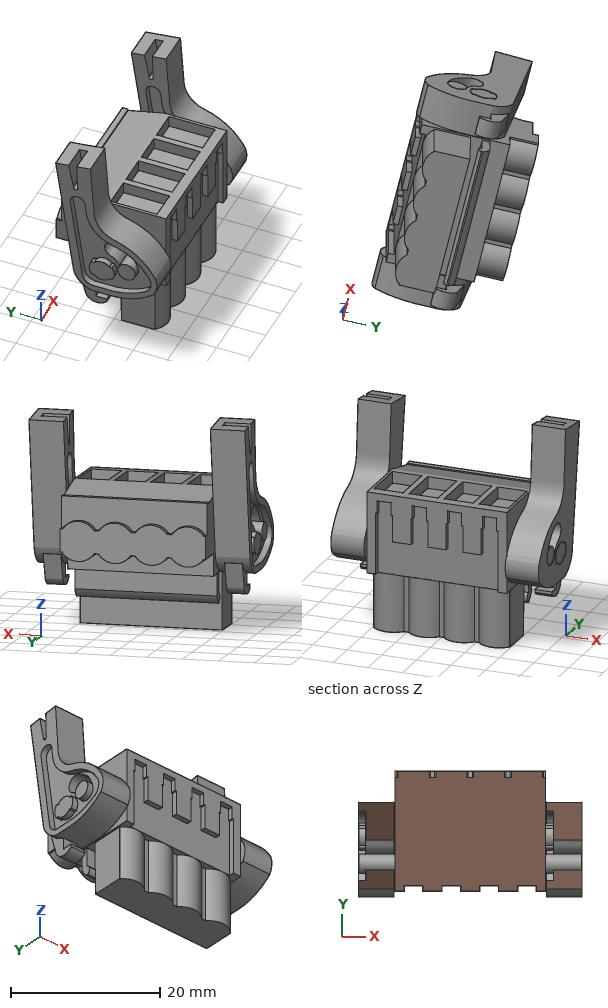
import cadquery as cq
import math


POLE_COUNT = 4
PITCH = 5.07

BLOCK_WIDTH = 20.23
BLOCK_DEPTH = 12.15
BLOCK_HEIGHT = 11.68
FLAT_TOP_DEPTH = 9.0

SHOULDER_REAR = 15.3
SHOULDER_BOTTOM = 6.18
RIDGE_FRONT = 14.47
RIDGE_TOP = 10.57
SLOPE_FOOT = 10.4

ENTRY_REAR = 16.12
ENTRY_BOTTOM = 3.03
ENTRY_TOP = SHOULDER_BOTTOM
ENTRY_LOBE_WIDTH = 4.5
ENTRY_LOBE_RISE = 1.17

PLUG_WIDTH = 19.75
PLUG_FRONT = 1.75
PLUG_REAR = 6.78
PLUG_FOOT_REAR = 6.65
PLUG_LENGTH = 8.4
PLUG_LOBE_WIDTH = 4.38
PLUG_LOBE_RISE = 1.0

COMB_DEPTH = PLUG_FRONT - PLUG_LOBE_RISE
COMB_BASE_HEIGHT = 5.0
FINGER_WIDTH = 2.45
FINGER_HEIGHT = 8.77
FINGER_TIP_WIDTH = 2.05
FINGER_TIP_HEIGHT = 10.63

PUSHER_WIDTH = 4.2
PUSHER_FRONT = 1.53
PUSHER_DEPTH = 6.75
PUSHER_HEIGHT = 3.0
PUSHER_SINK = 1.68

LEVER_WIDTH = 4.8
LEVER_OUTER = 15.0
RECESS_DEPTH = 0.95
PIVOT_Y = 7.32
PIVOT_Z = 3.87
PIVOT_RADIUS = 1.53
KEY_RADIUS = 1.83
KEY_HEIGHT = 2.05
STOP_RADIUS = 1.3
SLOT_RADIUS = 1.35
STOP_ORBIT = 3.75
STOP_ANGLE = 14.6
SWING_ANGLE = 53.5
STUD_GAP = 0.05
BLADE_SLOT_DEPTH = 3.6
HOOK_INSET = 1.15
HOOK_WIDTH = 2.45

CATCH_WIDTH = PLUG_WIDTH

BLOCK_SIDE = BLOCK_WIDTH / 2
LEVER_INNER = LEVER_OUTER - LEVER_WIDTH
STUD_LENGTH = LEVER_OUTER - STUD_GAP - BLOCK_SIDE
PUSHER_TOP = BLOCK_HEIGHT - PUSHER_SINK
POLE_X = [(i - (POLE_COUNT - 1) / 2) * PITCH for i in range(POLE_COUNT)]


def box(x_min, x_max, y_min, y_max, z_min, z_max):
    """Box between the given limits."""
    size = (x_max - x_min, y_max - y_min, z_max - z_min)
    return cq.Workplane("XY").box(*size, centered=False).translate((x_min, y_min, z_min))


def centred_box(width, y_min, y_max, z_min, z_max, x=0):
    """Box of the given width, centred on x."""
    return box(x - width / 2, x + width / 2, y_min, y_max, z_min, z_max)


def side_plane(x):
    """Plane across X whose local axes are Y and Z."""
    return cq.Workplane("YZ", origin=(x, 0, 0))


def around_pivot(radius, angle):
    """Point at a radius from the pivot, at an angle above the front direction."""
    turn = math.radians(angle)
    return PIVOT_Y - radius * math.cos(turn), PIVOT_Z + radius * math.sin(turn)



def pivot_stud(x, length):
    """Round pivot with a wider key on its front and rear."""
    core = side_plane(x).center(PIVOT_Y, PIVOT_Z).circle(PIVOT_RADIUS).extrude(length)
    key = side_plane(x).center(PIVOT_Y, PIVOT_Z).circle(KEY_RADIUS).extrude(length)
    band = side_plane(x).center(PIVOT_Y, PIVOT_Z).rect(2 * KEY_RADIUS, KEY_HEIGHT).extrude(length)
    return core.union(key.intersect(band))


def round_on_orbit(x, length, angle, radius):
    """Cylinder along X, centred on the stop pin's path about the pivot."""
    return side_plane(x).center(*around_pivot(STOP_ORBIT, angle)).circle(radius).extrude(length)


def stop_pin(x, length):
    """Round pin that limits the swing of the lever."""
    return round_on_orbit(x, length, STOP_ANGLE, STOP_RADIUS)


def stop_slot(x, length):
    """Curved slot about the pivot, with the stop pin loosely held at its lower end."""
    inner = STOP_ORBIT - SLOT_RADIUS
    outer = STOP_ORBIT + SLOT_RADIUS
    middle = STOP_ANGLE + SWING_ANGLE / 2
    far = STOP_ANGLE + SWING_ANGLE
    band = (
        side_plane(x)
        .moveTo(*around_pivot(inner, STOP_ANGLE))
        .threePointArc(around_pivot(inner, middle), around_pivot(inner, far))
        .lineTo(*around_pivot(outer, far))
        .threePointArc(around_pivot(outer, middle), around_pivot(outer, STOP_ANGLE))
        .close()
        .extrude(length)
    )
    near_end = round_on_orbit(x, length, STOP_ANGLE, SLOT_RADIUS)
    far_end = round_on_orbit(x, length, far, SLOT_RADIUS)
    return band.union(near_end).union(far_end)



def pusher_block(x, top):
    """Block on a pusher's footprint, from the pusher's seat up to the given height."""
    rear = PUSHER_FRONT + PUSHER_DEPTH
    return centred_box(PUSHER_WIDTH, PUSHER_FRONT, rear, PUSHER_TOP - PUSHER_HEIGHT, top, x)


def make_pusher(x):
    """Pusher whose top lies sunk in its window."""
    return pusher_block(x, PUSHER_TOP)



def main_block():
    """Block and rear shoulder, with the sloped roof between them."""
    block = centred_box(BLOCK_WIDTH, 0, BLOCK_DEPTH, 0, BLOCK_HEIGHT)
    roof_cut = (
        side_plane(-BLOCK_SIDE)
        .moveTo(FLAT_TOP_DEPTH, BLOCK_HEIGHT)
        .lineTo(RIDGE_FRONT, SLOPE_FOOT)
        .lineTo(RIDGE_FRONT, BLOCK_HEIGHT)
        .close()
        .extrude(BLOCK_WIDTH)
    )
    shoulder = (
        side_plane(-BLOCK_SIDE)
        .moveTo(FLAT_TOP_DEPTH, SHOULDER_BOTTOM)
        .lineTo(SHOULDER_REAR, SHOULDER_BOTTOM)
        .lineTo(SHOULDER_REAR, RIDGE_TOP)
        .lineTo(RIDGE_FRONT, RIDGE_TOP)
        .lineTo(RIDGE_FRONT, SLOPE_FOOT)
        .lineTo(FLAT_TOP_DEPTH, BLOCK_HEIGHT)
        .close()
        .extrude(BLOCK_WIDTH)
    )
    return block.cut(roof_cut).union(shoulder)


def wire_entries():
    """Row of wire entries behind the block, with an arched lobe above and below each pole."""
    row = centred_box(BLOCK_WIDTH, FLAT_TOP_DEPTH, ENTRY_REAR, ENTRY_BOTTOM, ENTRY_TOP)
    half = ENTRY_LOBE_WIDTH / 2
    for x in POLE_X:
        lobes = (
            cq.Workplane("XZ", origin=(0, ENTRY_REAR, 0))
            .moveTo(x - half, ENTRY_BOTTOM)
            .threePointArc((x, ENTRY_BOTTOM - ENTRY_LOBE_RISE), (x + half, ENTRY_BOTTOM))
            .lineTo(x + half, ENTRY_TOP)
            .threePointArc((x, ENTRY_TOP + ENTRY_LOBE_RISE), (x - half, ENTRY_TOP))
            .close()
            .extrude(ENTRY_REAR - FLAT_TOP_DEPTH)
        )
        row = row.union(lobes)
    return row


def plug():
    """Plug with a tapered rear below the block, and an arched lobe on the front of each pole."""
    body = (
        side_plane(-PLUG_WIDTH / 2)
        .moveTo(PLUG_FRONT, 0)
        .lineTo(PLUG_REAR, 0)
        .lineTo(PLUG_FOOT_REAR, -PLUG_LENGTH)
        .lineTo(PLUG_FRONT, -PLUG_LENGTH)
        .close()
        .extrude(PLUG_WIDTH)
    )
    half = PLUG_LOBE_WIDTH / 2
    for x in POLE_X:
        lobe = (
            cq.Workplane("XY", origin=(0, 0, -PLUG_LENGTH))
            .moveTo(x - half, PLUG_FRONT)
            .threePointArc((x, PLUG_FRONT - PLUG_LOBE_RISE), (x + half, PLUG_FRONT))
            .close()
            .extrude(PLUG_LENGTH)
        )
        body = body.union(lobe)
    return body


def comb_recess():
    """Shallow recess in the front face, with one stepped finger per pole."""
    base_width = POLE_X[-1] - POLE_X[0] + FINGER_WIDTH
    recess = centred_box(base_width, 0, COMB_DEPTH, 0, COMB_BASE_HEIGHT)
    for x in POLE_X:
        recess = recess.union(centred_box(FINGER_WIDTH, 0, COMB_DEPTH, 0, FINGER_HEIGHT, x))
        recess = recess.union(centred_box(FINGER_TIP_WIDTH, 0, COMB_DEPTH, 0, FINGER_TIP_HEIGHT, x))
    return recess


def catch():
    """Hooked rib under the block, behind the plug."""
    return (
        side_plane(-CATCH_WIDTH / 2)
        .moveTo(8.38, 0)
        .lineTo(8.38, -2.95)
        .threePointArc((7.9, -3.85), (8.3, -4.35))
        .lineTo(8.5, -4.38)
        .threePointArc((9.1, -3.78), (9.43, -3.2))
        .lineTo(9.43, 0)
        .close()
        .extrude(CATCH_WIDTH)
    )


def make_housing():
    """Housing with its plug, catch, windows and the studs that carry both levers."""
    body = main_block().union(wire_entries()).union(plug()).union(catch())
    body = body.cut(comb_recess())
    for x in POLE_X:
        body = body.cut(pusher_block(x, BLOCK_HEIGHT))
    for x in (-BLOCK_SIDE - STUD_LENGTH, BLOCK_SIDE):
        body = body.union(pivot_stud(x, STUD_LENGTH)).union(stop_pin(x, STUD_LENGTH))
    return body



def lever_blank(x):
    """Handle that widens into a rounded foot."""
    return (
        side_plane(x)
        .moveTo(14.05, 20.47)
        .lineTo(8.95, 21.1)
        .lineTo(8.4, 13.42)
        .threePointArc((7.72, 11.47), (5.4, 9.85))
        .threePointArc((2.43, 8.47), (-0.18, 5.73))
        .lineTo(-0.55, 5.13)
        .threePointArc((-0.78, 3.78), (-0.35, 2.35))
        .threePointArc((2.58, 0.6), (6.05, 0))
        .lineTo(8.65, 0)
        .threePointArc((10.27, 0.8), (11.4, 2.58))
        .close()
        .extrude(LEVER_WIDTH)
    )


def lever_recess(x):
    """Recess in the -X face that leaves a rim around the foot."""
    return (
        side_plane(x)
        .moveTo(11.92, 14.38)
        .lineTo(10.18, 2.45)
        .threePointArc((9.7, 1.4), (8.53, 0.93))
        .lineTo(5.5, 0.93)
        .threePointArc((3.18, 1.38), (0.95, 2.37))
        .threePointArc((0.1, 3.8), (0.55, 5.13))
        .threePointArc((2.58, 7.38), (5.85, 8.9))
        .threePointArc((8.3, 10.4), (9.55, 13.1))
        .lineTo(9.73, 14.6)
        .threePointArc((10.75, 15.65), (11.92, 14.38))
        .close()
        .extrude(RECESS_DEPTH)
    )


def blade_slot(x):
    """Wedge slot in the top of the handle, open to the -X face."""
    return (
        side_plane(x)
        .moveTo(12.3, 21.6)
        .lineTo(11.45, 17.17)
        .threePointArc((11.1, 16.78), (10.85, 17.1))
        .lineTo(11.0, 21.6)
        .close()
        .extrude(BLADE_SLOT_DEPTH)
    )


def lever_hook(x):
    """Latching hook under the foot, narrower than the lever."""
    return (
        side_plane(x + HOOK_INSET)
        .moveTo(8.65, 0.9)
        .lineTo(8.65, -1.8)
        .lineTo(7.05, -1.8)
        .lineTo(7.05, -2.22)
        .threePointArc((8.53, -2.88), (10.12, -1.9))
        .lineTo(11.17, 1.75)
        .close()
        .extrude(HOOK_WIDTH)
    )


def make_lever(x):
    """Lever whose -X face lies at x."""
    body = lever_blank(x).union(lever_hook(x))
    body = body.cut(lever_recess(x)).cut(blade_slot(x))
    body = body.cut(pivot_stud(x, LEVER_WIDTH))
    return body.cut(stop_slot(x, LEVER_WIDTH))


housing = make_housing()
pushers = [make_pusher(x) for x in POLE_X]
levers = [make_lever(x) for x in (-LEVER_OUTER, LEVER_INNER)]

bodies = [housing, *pushers, *levers]

result = cq.Compound.makeCompound([body.solids().val() for body in bodies])